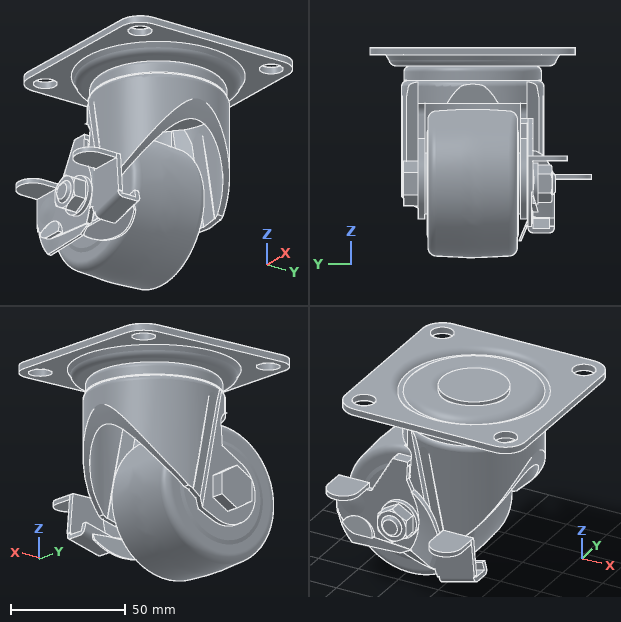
import cadquery as cq
import math


overall_length = 99.5
overall_width = 97.0
overall_height = 92.0

plate_side = 89.9
plate_thickness = 3.2
plate_corner_radius = 9.95
mount_hole_diameter = 10.4
mount_hole_offset = 35.4
dish_depth = 8.1
dish_bottom_radius = 33.4
groove_outer_radius = 38.1
groove_inner_radius = 25.1
groove_floor_inner_radius = 31.0
groove_depth = 3
eye_radius = 20.6
eye_depth = 2.5

kingpin_radius = 15.7
collar_radius = 30.1
collar_edge = 2.6
fork_radius = 31.2
fork_top_z = -14.3
fork_top_rounding = 2.9
fork_wall = 3
leg_outer_y = 23.9
leg_inner_y = leg_outer_y - fork_wall
leg_end_radius = 15.6
lip_bottom_z = -24.4
fork_bottom_z = -79.6

wheel_radius = 32.5
wheel_x = plate_side / 2 - overall_length + wheel_radius
wheel_z = wheel_radius - overall_height
tread_edge_radius = 31.8
tread_half_width = 15.5
wheel_half_width = 19.6
face_outer_radius = 27.9
plateau_base_radius = 23.7
plateau_radius = 21.9
plateau_height = 0.5
hub_radius = 13.4

axle_radius = 5.1
axle_end_y = -36.3
axle_end_chamfer = 1.4
bolt_head_across_flats = 17.0
bolt_head_end_y = 30.2
nut_across_flats = 14.2
nut_end_y = -34.8
washer_radius = 9
washer_thickness = 2.2

sheet = 2.2
lever_inner_y = -24.2
lever_outer_y = lever_inner_y - sheet
panel_outer_y = -35.8
panel_inner_y = panel_outer_y + sheet
flare_x = -40.8
flare_z = -59.2
flare_start_radius = 28.5
flare_end_radius = 42.2
flare_reach = 69.65
bend_shift = 0.7
bend_facet = 0.9
lever_left_x = -54.2
pedal_width = 15.2
off_pedal_top_z = -47.4
off_pedal_end_y = -41.5
on_pedal_left_x = 3.1
on_pedal_top_z = -55.5
on_pedal_end_y = plate_side / 2 - overall_width
horn_left_x = -26.2
horn_right_x = -18.7
horn_top_z = -30.9
channel_left_x = 3.1
channel_left_z = -81.2
channel_length = 17.7
channel_height = 6
channel_bend_radius = 2.5
channel_slope = 14.7
shoe_thickness = 1
dimple_radius = 6.2
dimple_height = 0.5
dimple_x = -46.1
dimple_z = -57.9
lug_x = -43.5
lug_z = -71.9
lug_height = 2.3
lug_half_length = 8.3
lug_half_height = 7.8
hem_depth = 0.6


def disc(radius, y_start, y_end):
    """Cylinder on the wheel axis between two Y positions."""
    start = cq.Workplane("XZ", origin=(wheel_x, y_start, wheel_z))
    return start.circle(radius).extrude(y_start - y_end)


def hexagon(across_flats, y_start, y_end):
    """Hexagonal prism on the wheel axis with two corners pointing up and down."""
    corner_diameter = across_flats / math.cos(math.pi / 6)
    start = cq.Workplane("XZ", origin=(wheel_x, y_start, wheel_z))
    return start.transformed(rotate=(0, 0, 90)).polygon(6, corner_diameter).extrude(y_start - y_end)


def side_slab(points, y_start, y_end):
    """Slab with a straight-sided XZ outline between two Y positions."""
    return cq.Workplane("XZ", origin=(0, y_start, 0)).polyline(points).close().extrude(y_start - y_end)


def make_plate():
    sheet_blank = (
        cq.Workplane("XY")
        .rect(plate_side, plate_side)
        .extrude(-plate_thickness)
        .edges("|Z")
        .fillet(plate_corner_radius)
        .faces(">Z")
        .workplane()
        .rect(2 * mount_hole_offset, 2 * mount_hole_offset, forConstruction=True)
        .vertices()
        .hole(mount_hole_diameter)
    )
    dish = (
        cq.Workplane("XZ")
        .lineTo(groove_outer_radius, 0)
        .lineTo(groove_outer_radius, -plate_thickness)
        .lineTo(36.7, -5.5)
        .threePointArc((35.6, -7.3), (dish_bottom_radius, -dish_depth))
        .lineTo(0, -dish_depth)
        .close()
        .revolve(360, (0, 0), (0, 1))
    )
    race_groove = (
        cq.Workplane("XZ")
        .moveTo(groove_inner_radius, 0)
        .threePointArc((28.5, -0.8), (groove_floor_inner_radius, -groove_depth))
        .lineTo(dish_bottom_radius, -groove_depth)
        .threePointArc((35.3, -0.8), (groove_outer_radius, 0))
        .close()
        .revolve(360, (0, 0), (0, 1))
    )
    eye = (
        cq.Workplane("XZ")
        .lineTo(eye_radius, 0)
        .threePointArc((17.9, -0.7), (kingpin_radius, -eye_depth))
        .lineTo(kingpin_radius, -dish_depth)
        .lineTo(0, -dish_depth)
        .close()
        .revolve(360, (0, 0), (0, 1))
    )
    return sheet_blank.union(dish).cut(race_groove).cut(eye)


def fork_envelope(inset, top_z):
    """Round skirt and flat leg block, set in from the outer surface by a wall thickness."""
    height = top_z - fork_bottom_z
    leg_y = leg_outer_y - inset
    far = 59.7
    crease_y = 29.1
    skirt_edge_y = 30.7

    def guide_outline(leg_edge_x, crease_x, skirt_edge_x):
        half = [
            (-far, leg_y),
            (leg_edge_x, leg_y),
            (crease_x, crease_y - inset),
            (skirt_edge_x, skirt_edge_y - inset),
            (skirt_edge_x, far),
            (far, far),
        ]
        return half + [(x, -y) for x, y in reversed(half)]

    skirt = cq.Workplane("XY", origin=(0, 0, fork_bottom_z)).circle(fork_radius - inset).extrude(height)
    if inset == 0:
        skirt = skirt.faces(">Z").edges().fillet(fork_top_rounding)
    leg_block = (
        cq.Workplane("XY", origin=(-far, 0, fork_bottom_z))
        .box(far, 2 * leg_y, lip_bottom_z - fork_bottom_z, centered=(False, True, False))
    )
    guide = (
        cq.Workplane("XY", origin=(0, 0, fork_bottom_z))
        .polyline(guide_outline(-5.8, 0.4, 6.4))
        .close()
        .workplane(offset=fork_top_z - fork_bottom_z)
        .polyline(guide_outline(-18.6, -13.1, -7))
        .close()
        .loft(ruled=True)
    )
    return skirt.union(leg_block).intersect(guide)


def fork_side_profile():
    """Outline of the fork across its width, ending in a round boss at the axle."""
    upper = math.radians(115)
    lower = math.radians(-65)
    boss_upper = (wheel_x + leg_end_radius * math.cos(upper), wheel_z + leg_end_radius * math.sin(upper))
    boss_lower = (wheel_x + leg_end_radius * math.cos(lower), wheel_z + leg_end_radius * math.sin(lower))
    return (
        cq.Workplane("XZ", origin=(0, fork_radius, 0))
        .moveTo(-fork_radius, fork_top_z)
        .lineTo(fork_radius, fork_top_z)
        .lineTo(fork_radius, -25.3)
        .threePointArc((24.9, -40.9), (14.4, -55.9))
        .lineTo(6, -64.3)
        .lineTo(*boss_lower)
        .threePointArc((wheel_x - leg_end_radius, wheel_z), boss_upper)
        .lineTo(-18.9, -39.8)
        .lineTo(-18.2, -29.85)
        .threePointArc((-18.8, -26.5), (-21.6, lip_bottom_z))
        .lineTo(-29.2, lip_bottom_z)
        .lineTo(-30.7, fork_top_z - fork_wall)
        .close()
        .extrude(2 * fork_radius)
    )


def make_fork():
    shell = fork_envelope(0, fork_top_z).cut(fork_envelope(fork_wall, fork_top_z - fork_wall))
    fork = shell.intersect(fork_side_profile())
    collar = (
        cq.Workplane("XY", origin=(0, 0, fork_top_z))
        .circle(collar_radius)
        .extrude(-dish_depth - fork_top_z)
        .faces(">Z")
        .edges()
        .fillet(collar_edge)
    )
    kingpin = cq.Workplane("XY", origin=(0, 0, fork_top_z)).circle(kingpin_radius).extrude(-fork_top_z)
    axle_hole = disc(axle_radius, leg_outer_y, -leg_outer_y)
    return fork.union(collar).union(kingpin).cut(axle_hole)


def make_wheel():
    plateau_y = wheel_half_width + plateau_height
    right_half = [
        (face_outer_radius, wheel_half_width),
        (plateau_base_radius, wheel_half_width),
        (plateau_radius, plateau_y),
        (hub_radius, plateau_y),
        (hub_radius, leg_inner_y),
        (axle_radius, leg_inner_y),
    ]
    left_half = [(radius, -y) for radius, y in reversed(right_half)]
    return (
        cq.Workplane("XY")
        .moveTo(face_outer_radius, -wheel_half_width)
        .threePointArc((30.8, -18.3), (tread_edge_radius, -tread_half_width))
        .threePointArc((wheel_radius, 0), (tread_edge_radius, tread_half_width))
        .threePointArc((30.8, 18.3), right_half[0])
        .polyline(right_half[1:] + left_half[:-1], includeCurrent=True)
        .close()
        .revolve(360, (0, 0), (0, 1))
        .translate((wheel_x, 0, wheel_z))
    )


def make_axle():
    washer_end_y = lever_outer_y - washer_thickness
    shank = disc(axle_radius, leg_outer_y, axle_end_y).faces("<Y").chamfer(axle_end_chamfer)
    head = hexagon(bolt_head_across_flats, bolt_head_end_y, leg_outer_y)
    washer = disc(washer_radius, lever_outer_y, washer_end_y)
    nut = hexagon(nut_across_flats, washer_end_y, nut_end_y)
    nut_corner_radius = nut_across_flats / 2 / math.cos(math.pi / 6)
    nut_chamfer = disc(nut_corner_radius, washer_end_y, nut_end_y).faces("<Y").chamfer(0.6, 1)
    return shank.union(head).union(washer).union(nut.intersect(nut_chamfer))


def lever_sheet():
    """Flat sheet that flares outward along a cone into a parallel outer panel."""
    flared_disc = (
        cq.Workplane("XY")
        .moveTo(0, lever_inner_y)
        .lineTo(flare_start_radius, lever_inner_y)
        .lineTo(flare_end_radius, panel_inner_y)
        .lineTo(flare_reach, panel_inner_y)
        .lineTo(flare_reach, panel_outer_y)
        .lineTo(flare_end_radius + bend_facet, panel_outer_y)
        .lineTo(flare_end_radius - 2 * bend_shift, panel_outer_y + bend_shift)
        .lineTo(flare_start_radius - bend_shift, lever_outer_y)
        .lineTo(0, lever_outer_y)
        .close()
        .revolve(360, (0, 0), (0, 1))
        .translate((flare_x, 0, flare_z))
    )
    outline = (
        cq.Workplane("XZ", origin=(0, lever_inner_y, 0))
        .moveTo(lever_left_x, off_pedal_top_z)
        .lineTo(lever_left_x + pedal_width, off_pedal_top_z)
        .lineTo(lever_left_x + pedal_width, -49.75)
        .lineTo(-33.8, -49.75)
        .lineTo(-16.6, -45.1)
        .threePointArc((-4, -50.3), (1.4, -57.7))
        .lineTo(on_pedal_left_x, on_pedal_top_z)
        .lineTo(on_pedal_left_x + pedal_width, on_pedal_top_z)
        .lineTo(19.9, -73.6)
        .lineTo(1.5, -78.2)
        .lineTo(0.1, -74.6)
        .lineTo(-16.6, -74.2)
        .lineTo(-22.7, -77.3)
        .lineTo(-46.8, -78.3)
        .threePointArc((-51.2, -72.1), (lever_left_x, -59.1))
        .close()
        .extrude(lever_inner_y - panel_outer_y)
    )
    return flared_disc.intersect(outline)


def lever_horn():
    """Upright arm of the lever with its top folded in toward the wheel."""
    arm_outline = [
        (-36.9, -49.75),
        (horn_left_x, horn_top_z),
        (horn_right_x, horn_top_z),
        (-19.2, -39.8),
        (-16.6, -45.1),
        (-16.6, -51.7),
    ]
    fold_outline = [
        (horn_left_x, horn_top_z),
        (horn_right_x, horn_top_z),
        (horn_right_x, horn_top_z - sheet),
        (horn_left_x - 1.2, horn_top_z - sheet),
    ]
    arm = side_slab(arm_outline, lever_inner_y, lever_outer_y)
    return arm.union(side_slab(fold_outline, -leg_inner_y, lever_outer_y))


def pedal(left_x, top_z, root_y, end_y):
    """Horizontal foot tab with a half-round end."""
    tip_radius = pedal_width / 2
    shoulder_y = end_y + tip_radius
    return (
        cq.Workplane("XY", origin=(left_x, 0, top_z))
        .moveTo(0, root_y)
        .lineTo(0, shoulder_y)
        .threePointArc((tip_radius, end_y), (pedal_width, shoulder_y))
        .lineTo(pedal_width, root_y)
        .close()
        .extrude(-sheet)
    )


def lever_channel():
    """Sloping U-shaped fold along the bottom of the outer panel."""
    width = lever_inner_y - panel_outer_y
    block = cq.Workplane("XY").box(channel_length, width, channel_height, centered=False)
    block = block.edges("|X and <Z").fillet(channel_bend_radius)
    inside = cq.Workplane("XY").box(channel_length, width - 2 * sheet, channel_height, centered=False)
    channel = block.cut(inside.translate((0, sheet, sheet)))
    channel = channel.rotate((0, 0, 0), (0, 1, 0), -channel_slope)
    return channel.translate((channel_left_x, panel_outer_y, channel_left_z))


def brake_shoe():
    """Thin leaf that leans in from the lever toward the wheel face."""
    top_z = -73.6
    bend_z = wheel_z - leg_end_radius
    bottom_z = -84.6
    left_x = -21.9
    right_x = 14.9
    bottom_y = -20.2
    leaf_outline = [
        (lever_inner_y, bend_z),
        (lever_inner_y, top_z),
        (lever_inner_y - shoe_thickness, top_z),
        (lever_inner_y - shoe_thickness, bend_z),
        (bottom_y - shoe_thickness, bottom_z),
        (bottom_y, bottom_z),
    ]
    leaf = cq.Workplane("YZ", origin=(left_x, 0, 0)).polyline(leaf_outline).close().extrude(right_x - left_x)
    trim = (
        cq.Workplane("XZ", origin=(0, bottom_y, 0))
        .moveTo(left_x, -77.9)
        .threePointArc((-9.1, -83.6), (0.1, bottom_z))
        .threePointArc((8, -83.1), (right_x, -78.2))
        .lineTo(right_x, -75.6)
        .lineTo(-15.9, top_z)
        .lineTo(left_x, top_z)
        .close()
        .extrude(bottom_y - panel_outer_y)
    )
    return leaf.intersect(trim)


def lever_dimple(x, z, base_y):
    """Shallow conical boss that stands on the outer face of the lever."""
    cone = cq.Solid.makeCone(dimple_radius, 0, dimple_height, cq.Vector(x, base_y, z), cq.Vector(0, -1, 0))
    return cq.Workplane(obj=cone)


def lever_lug():
    """Bulge that leans outward as it goes down."""
    wedge_outline = [
        (lever_outer_y, lug_z + lug_half_height),
        (lever_outer_y - lug_height, lug_z),
        (lever_outer_y, lug_z),
    ]
    wedge = cq.Workplane("YZ", origin=(lug_x - lug_half_length, 0, 0)).polyline(wedge_outline).close()
    wedge = wedge.extrude(2 * lug_half_length)
    rim = cq.Workplane("XZ", origin=(lug_x, lever_outer_y, lug_z)).ellipse(lug_half_length, lug_half_height)
    return wedge.intersect(rim.extrude(lug_height))


def lever_hem():
    """Step that thins the lower margin of the lever and cuts off the bulge above it."""
    return (
        cq.Workplane("XZ", origin=(0, lever_outer_y + hem_depth, 0))
        .moveTo(-53.7, -63.2)
        .threePointArc((-49.3, -69.5), (-44.0, lug_z))
        .lineTo(-16.6, -74.0)
        .lineTo(-16.6, -79.6)
        .lineTo(-53.7, -79.6)
        .close()
        .extrude(hem_depth + lug_height)
    )


def make_brake():
    off_pedal = pedal(lever_left_x, off_pedal_top_z, lever_inner_y, off_pedal_end_y)
    on_pedal = pedal(on_pedal_left_x, on_pedal_top_z, panel_inner_y, on_pedal_end_y)
    upper_dimple = lever_dimple(dimple_x, dimple_z, lever_outer_y)
    lower_dimple = lever_dimple(lug_x, lug_z, lever_outer_y + hem_depth)
    lever = lever_sheet().union(lever_horn()).union(lever_lug()).cut(lever_hem())
    for feature in (off_pedal, on_pedal, lever_channel(), brake_shoe(), upper_dimple, lower_dimple):
        lever = lever.union(feature)
    return lever.cut(disc(axle_radius, lever_inner_y, lever_outer_y))


plate = make_plate()
fork = make_fork()
wheel = make_wheel()
brake = make_brake()
axle = make_axle()

result = cq.Compound.makeCompound([plate.val(), fork.val(), wheel.val(), brake.val(), axle.val()])